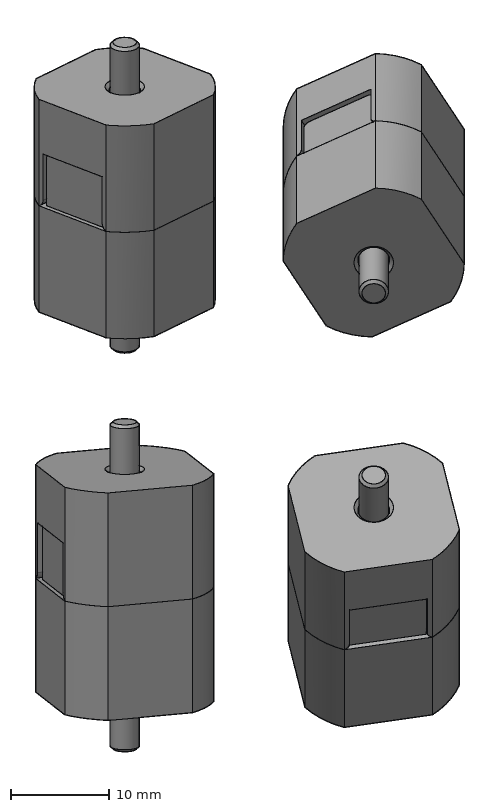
import cadquery as cq
import math

total_length = 34.5
body_width = 16.0
corner_diameter = 18.42
housing_height = 12.0
shaft_diameter = 3.0
shaft_chamfer = 0.3
top_stub = 5.0
bore_diameter = 3.2
countersink_diameter = 4.0
window_width = 8.05
window_height = 6.0
edge_radius = 0.75
block_recess = 0.52

shaft_top = housing_height + top_stub
shaft_bottom = shaft_top - total_length
countersink_depth = (countersink_diameter - bore_diameter) / 2
block_length = body_width - 2 * block_recess
half_window = window_width / 2


def centered_cylinder(diameter, bottom, height):
    """Cylinder on the Z axis."""
    return cq.Workplane("XY").workplane(offset=bottom).circle(diameter / 2).extrude(height)


def make_housing_blank():
    """Square housing above Z = 0 with rounded corners, a clearance bore and a countersink on top."""
    square = cq.Workplane("XY").rect(body_width, body_width).extrude(housing_height)
    blank = square.intersect(centered_cylinder(corner_diameter, 0, housing_height))
    bored = blank.cut(centered_cylinder(bore_diameter, 0, housing_height))
    countersink = cq.Workplane(
        cq.Solid.makeCone(
            bore_diameter / 2,
            countersink_diameter / 2,
            countersink_depth,
            pnt=cq.Vector(0, 0, housing_height - countersink_depth),
        )
    )
    return bored.cut(countersink)


def make_window():
    """Tunnel along Y that flares outward where its sides reach the bottom of the housing."""
    mouth = half_window + edge_radius
    arc_offset = edge_radius * (1 - math.sqrt(0.5))
    return (
        cq.Workplane("XZ")
        .moveTo(-mouth, 0)
        .lineTo(mouth, 0)
        .threePointArc((half_window + arc_offset, arc_offset), (half_window, edge_radius))
        .lineTo(half_window, window_height)
        .lineTo(-half_window, window_height)
        .lineTo(-half_window, edge_radius)
        .threePointArc((-half_window - arc_offset, arc_offset), (-mouth, 0))
        .close()
        .extrude(body_width / 2, both=True)
    )


def make_upper_housing():
    return make_housing_blank().cut(make_window())


def make_lower_housing():
    """Mirror image of the upper housing, without the window."""
    return make_housing_blank().mirror("XY")


def make_block():
    """Block filling the window, rounded along its top edges and bored to fit the shaft."""
    block = cq.Workplane("XY").box(window_width, block_length, window_height, centered=(True, True, False))
    rounded = block.edges("|Y and >Z").fillet(edge_radius)
    return rounded.cut(centered_cylinder(shaft_diameter, 0, window_height))


def make_shaft():
    """Through shaft, chamfered at both ends."""
    shaft = centered_cylinder(shaft_diameter, shaft_bottom, total_length)
    return shaft.faces("<Z or >Z").chamfer(shaft_chamfer)


upper_housing = make_upper_housing()
lower_housing = make_lower_housing()
block = make_block()
shaft = make_shaft()

result = cq.Compound.makeCompound(
    [upper_housing.val(), lower_housing.val(), block.val(), shaft.val()]
)